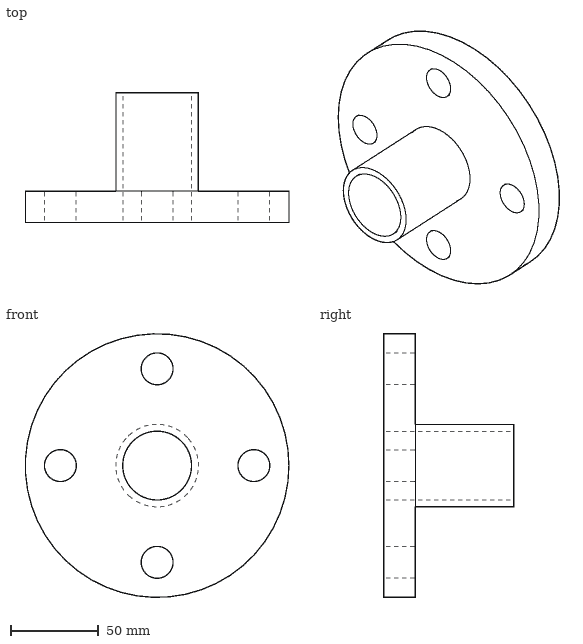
import cadquery as cq

flange_diameter = 150.0
flange_thickness = 18.0
overall_length = 74.0
neck_diameter = 47.0
bore_diameter = 39.0
bolt_circle_diameter = 110.0
bolt_hole_diameter = 18.0
bolt_hole_count = 4


def cylinder_along_y(diameter, length):
    """Solid cylinder on the Y axis, from the flange face at Y = 0 toward +Y."""
    return cq.Workplane("XZ").circle(diameter / 2).extrude(-length)


def bolt_holes():
    """Ring of cutters through the flange, the first one on the +X side."""
    return (
        cq.Workplane("XZ")
        .polarArray(bolt_circle_diameter / 2, 0, 360, bolt_hole_count)
        .circle(bolt_hole_diameter / 2)
        .extrude(-flange_thickness)
    )


flange = cylinder_along_y(flange_diameter, flange_thickness)
neck = cylinder_along_y(neck_diameter, overall_length)
bore = cylinder_along_y(bore_diameter, overall_length)

result = flange.union(neck).cut(bore).cut(bolt_holes())